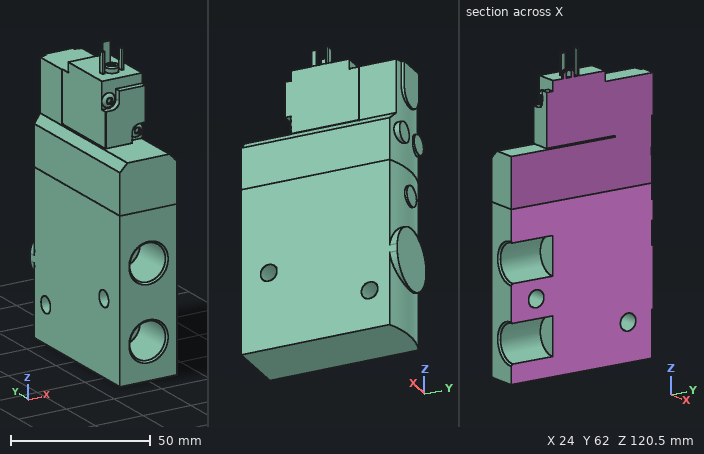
import cadquery as cq
import math

WIDTH = 24.0
DEPTH = 62.0
HEIGHT = 120.5

BACK_CENTER_Y = 61.5
BACK_SIDE_Y = 59.0
HOUSING_HEIGHT = 65.3
DECK_Z = 85.0
DECK_CHAMFER = 3.1

PORT_D = 15.0
PORT_MOUTH_D = 16.4
PORT_DEPTH = 18.1
PORT_ZS = (15.2, 45.1)
MOUNT_D = 6.5
MOUNT_YZ = ((11.1, 30.2), (51.1, 15.2))

SMALL_PAD_D = 8.0
HEAD_PAD_X = 6.0
HEAD_PAD_Z = 78.1
HOUSING_PAD_Z = 55.2
LARGE_PAD_Z = 30.1
LARGE_PAD_FLAT = 2.9
LARGE_PAD_R = math.hypot(WIDTH / 2, LARGE_PAD_FLAT / 2)
PAD_ROOT_Y = 54.2

PILOT_WIDTH = WIDTH - 2 * DECK_CHAMFER
PILOT_TOP_Z = 106.3
PILOT_FRONT_Y = 45.3
PILOT_PAD_WIDTH = 12.0
PILOT_PAD_ARC_Z = 96.2

RELIEF = 0.4
SOLENOID_WIDTH = PILOT_WIDTH - 2 * RELIEF
SOLENOID_BOTTOM_Z = DECK_Z + RELIEF
SOLENOID_TOP_Z = 110.3
STEP_Y = 41.3
SOLENOID_FRONT_Y = 18.2
PANEL_FRONT_Y = 15.7
PANEL_CHAMFER = 0.4

SCREW_X = 5.8
UPPER_SCREW_Z = 102.5
LOWER_SCREW_Z = 89.0
SCREW_HEAD_D = 5.5
SCREW_HEAD_HEIGHT = 1.1
SCREW_DOME_R = 1.8
SCREW_POCKET_D = 6.3
SOCKET_DEPTH = 0.7

HOLE_D = 2.0
HOLE_MOUTH_D = 2.5
COUNTERSINK = (HOLE_MOUTH_D - HOLE_D) / 2

POST_Y = 25.3
POST_D = 5.0
POST_TIP_D = 4.1
POST_SHOULDER_HEIGHT = 1.8
POST_HEIGHT = 2.5
EARTH_PIN_Y = 29.3
EARTH_PIN_WIDTH = 3.3
EARTH_PIN_THICKNESS = 0.7
SIDE_PIN_X = 4.0
SIDE_PIN_WIDTH = 1.9
SIDE_PIN_THICKNESS = 1.0
SIDE_PIN_TOP_Z = 118.6


def box(x_size, y_min, y_max, z_min, z_max, x_center=0.0):
    """Box centred on x_center in X and given by its limits in Y and Z."""
    return (
        cq.Workplane("XY")
        .box(x_size, y_max - y_min, z_max - z_min, centered=(True, False, False))
        .translate((x_center, y_min, z_min))
    )


def y_cylinder(diameter, x, z, y_min, y_max):
    """Cylinder along +Y."""
    return cq.Workplane(cq.Solid.makeCylinder(
        diameter / 2, y_max - y_min, cq.Vector(x, y_min, z), cq.Vector(0, 1, 0)))


def block(z_min, z_max):
    """Slice of the valve block with its arched back."""
    half = WIDTH / 2
    return (
        cq.Workplane("XY")
        .workplane(offset=z_min)
        .moveTo(-half, 0)
        .lineTo(half, 0)
        .lineTo(half, BACK_SIDE_Y)
        .threePointArc((0, BACK_CENTER_Y), (-half, BACK_SIDE_Y))
        .close()
        .extrude(z_max - z_min)
    )


def back_pad(diameter, x, z):
    """Flat round pad that stands out of the arched back."""
    return y_cylinder(diameter, x, z, PAD_ROOT_Y, DEPTH)


def port(z):
    """Blind port with a 45 degree lead-in at the front face."""
    lead_in = (PORT_MOUTH_D - PORT_D) / 2
    bore = y_cylinder(PORT_D, 0, z, 0, PORT_DEPTH)
    mouth = cq.Workplane(cq.Solid.makeCone(
        PORT_MOUTH_D / 2, PORT_D / 2, lead_in, cq.Vector(0, 0, z), cq.Vector(0, 1, 0)))
    return bore.union(mouth)


def make_housing():
    """Lower valve block with ports, mounting holes and back pads."""
    body = block(0, HOUSING_HEIGHT)
    large_pad = back_pad(2 * LARGE_PAD_R, 0, LARGE_PAD_Z)
    body = body.union(large_pad.intersect(box(WIDTH, 0, DEPTH, 0, HOUSING_HEIGHT)))
    body = body.union(back_pad(SMALL_PAD_D, 0, HOUSING_PAD_Z))
    for z in PORT_ZS:
        body = body.cut(port(z))
    holes = (
        cq.Workplane("YZ")
        .pushPoints(MOUNT_YZ)
        .circle(MOUNT_D / 2)
        .extrude(WIDTH / 2, both=True)
    )
    return body.cut(holes)


def head_block():
    """Upper valve block and pilot block, both trimmed to the arched back."""
    half = WIDTH / 2
    half_pilot = PILOT_WIDTH / 2
    profile = (
        cq.Workplane("XZ")
        .polyline([
            (-half, HOUSING_HEIGHT),
            (half, HOUSING_HEIGHT),
            (half, DECK_Z - DECK_CHAMFER),
            (half_pilot, DECK_Z),
            (-half_pilot, DECK_Z),
            (-half, DECK_Z - DECK_CHAMFER),
        ])
        .close()
        .extrude(-DEPTH)
    )
    pilot = box(PILOT_WIDTH, PILOT_FRONT_Y, DEPTH, HOUSING_HEIGHT, PILOT_TOP_Z)
    body = profile.union(pilot).intersect(block(HOUSING_HEIGHT, PILOT_TOP_Z))
    for side in (-1, 1):
        body = body.union(back_pad(SMALL_PAD_D, side * HEAD_PAD_X, HEAD_PAD_Z))
    pilot_pad = box(PILOT_PAD_WIDTH, PAD_ROOT_Y, DEPTH, PILOT_PAD_ARC_Z, PILOT_TOP_Z)
    pilot_pad = pilot_pad.union(back_pad(PILOT_PAD_WIDTH, 0, PILOT_PAD_ARC_Z))
    return body.union(pilot_pad)


def screw_pocket(x, z, x_direction, z_direction):
    """Round-cornered pocket that opens through two edges of the front panel."""
    radius = SCREW_POCKET_D / 2
    reach = SCREW_POCKET_D
    return (
        cq.Workplane("XZ", origin=(x, SOLENOID_FRONT_Y, z))
        .moveTo(0, -z_direction * radius)
        .threePointArc(
            (-x_direction * radius * math.sqrt(0.5), -z_direction * radius * math.sqrt(0.5)),
            (-x_direction * radius, 0),
        )
        .lineTo(-x_direction * radius, z_direction * reach)
        .lineTo(x_direction * reach, z_direction * reach)
        .lineTo(x_direction * reach, -z_direction * radius)
        .close()
        .extrude(SOLENOID_FRONT_Y - PANEL_FRONT_Y)
    )


def screw_head(x, z):
    """Domed screw head with a countersunk socket, standing in its pocket."""
    return (
        cq.Workplane("XY")
        .moveTo(0, 0)
        .lineTo(0, SCREW_HEAD_HEIGHT - SOCKET_DEPTH)
        .lineTo(HOLE_D / 2, SCREW_HEAD_HEIGHT - SOCKET_DEPTH)
        .lineTo(HOLE_D / 2, SCREW_HEAD_HEIGHT - COUNTERSINK)
        .lineTo(HOLE_MOUTH_D / 2, SCREW_HEAD_HEIGHT)
        .radiusArc((SCREW_HEAD_D / 2, 0), SCREW_DOME_R)
        .close()
        .revolve(360, (0, 0), (0, 1))
        .rotate((0, 0, 0), (0, 0, 1), 180)
        .translate((x, SOLENOID_FRONT_Y, z))
    )


def solenoid():
    """Stepped solenoid with its front panel and two screws."""
    body = box(SOLENOID_WIDTH, SOLENOID_FRONT_Y, PILOT_FRONT_Y, SOLENOID_BOTTOM_Z, PILOT_TOP_Z)
    body = body.union(
        box(SOLENOID_WIDTH, SOLENOID_FRONT_Y, STEP_Y, SOLENOID_BOTTOM_Z, SOLENOID_TOP_Z))
    panel = box(SOLENOID_WIDTH, PANEL_FRONT_Y, SOLENOID_FRONT_Y, SOLENOID_BOTTOM_Z, PILOT_TOP_Z)
    panel = panel.faces("<Y").edges("|Z").chamfer(PANEL_CHAMFER)
    panel = panel.cut(screw_pocket(-SCREW_X, UPPER_SCREW_Z, -1, 1))
    panel = panel.cut(screw_pocket(SCREW_X, LOWER_SCREW_Z, 1, -1))
    body = body.union(panel)
    body = body.union(screw_head(-SCREW_X, UPPER_SCREW_Z))
    return body.union(screw_head(SCREW_X, LOWER_SCREW_Z))


def post():
    """Round post with a tapered tip and a countersunk hole down to the solenoid."""
    half_profile = [
        (POST_D / 2, 0),
        (POST_D / 2, POST_SHOULDER_HEIGHT),
        (POST_TIP_D / 2, POST_HEIGHT),
        (HOLE_MOUTH_D / 2, POST_HEIGHT),
        (HOLE_D / 2, POST_HEIGHT - COUNTERSINK),
        (HOLE_D / 2, 0),
    ]
    return (
        cq.Workplane("XZ")
        .polyline(half_profile)
        .close()
        .revolve(360, (0, 0), (0, 1))
        .translate((0, POST_Y, SOLENOID_TOP_Z))
    )


def contacts():
    """Earth pin behind the post and one pin on either side of it."""
    pins = box(
        EARTH_PIN_WIDTH,
        EARTH_PIN_Y - EARTH_PIN_THICKNESS / 2,
        EARTH_PIN_Y + EARTH_PIN_THICKNESS / 2,
        SOLENOID_TOP_Z,
        HEIGHT,
    )
    for side in (-1, 1):
        pins = pins.union(box(
            SIDE_PIN_THICKNESS,
            POST_Y - SIDE_PIN_WIDTH / 2,
            POST_Y + SIDE_PIN_WIDTH / 2,
            SOLENOID_TOP_Z,
            SIDE_PIN_TOP_Z,
            side * SIDE_PIN_X,
        ))
    return pins


def make_head():
    """Upper block with pilot, solenoid, post and contacts, all one body."""
    return head_block().union(solenoid()).union(post()).union(contacts())


housing = make_housing()
head = make_head()

result = cq.Compound.makeCompound([housing.val(), head.val()])